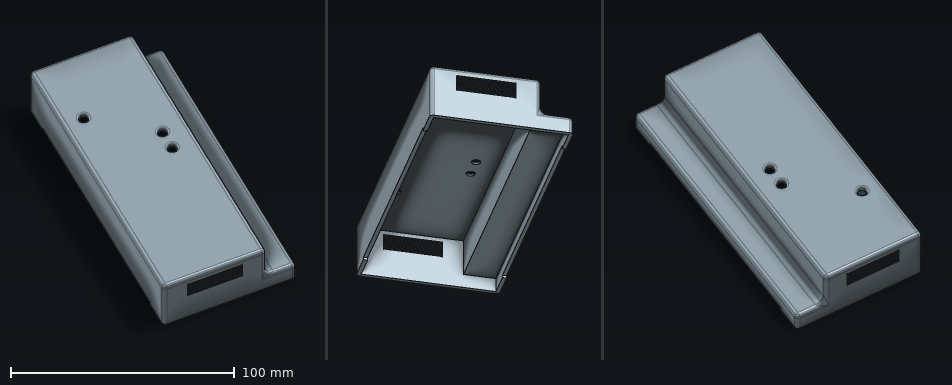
import cadquery as cq

length = 140.1
width = 66.0
height = 26.5
deck_depth = 15.0
deck_height = 8.8

wall = 2.0
edge_radius = 2.0
step_radius = 3.9

hole_top_diameter = 4.5
hole_bottom_diameter = 3.9
mouth_rounding = 1.0
pair_left_x = -12.3
pair_pitch = 10.1
pair_y = 5.7
single_x = -34.7
single_y = -22.7

slot_count = 8
slot_span = 7.0
slot_pitch = slot_span / (slot_count - 1)
slot_height = 0.6
slot_length = 27.2
slot_center_y = -7.1
vent_top_drop = 4.0

notch_length = 112.1
notch_height = 1.3
notch_center_x = 0.1

floor = -height / 2
roof = height / 2
front = -width / 2
back = width / 2
step_y = back - deck_depth
step_z = floor + deck_height
tolerance = 0.01


def stepped_block(inset):
    """L-shaped block along X, its walls and tops moved inward by the inset."""
    profile = [
        (front + inset, floor),
        (back - inset, floor),
        (back - inset, step_z - inset),
        (step_y - inset, step_z - inset),
        (step_y - inset, roof - inset),
        (front + inset, roof - inset),
    ]
    half_length = length / 2 - inset
    return cq.Workplane("YZ").polyline(profile).close().extrude(half_length, both=True)


def is_outer_edge(edge):
    """True for every edge except the bottom rim and the inside corner of the step."""
    center = edge.Center()
    on_floor = abs(edge.BoundingBox().zmax - floor) < tolerance
    in_step = abs(center.y - step_y) < tolerance and abs(center.z - step_z) < tolerance
    return not on_floor and not in_step


def rounded_body():
    """Solid block with rounded outer edges and a larger fillet inside the step."""
    block = stepped_block(0)
    outer_edges = [edge for edge in block.edges().vals() if is_outer_edge(edge)]
    body = block.newObject(outer_edges).fillet(edge_radius)
    inside_corner = cq.selectors.NearestToPointSelector((0, step_y, step_z))
    return body.edges(inside_corner).fillet(step_radius)


def top_hole(x, y):
    """Cutter for one hole: a rounded mouth, then a taper down to the inner face."""
    top_radius = hole_top_diameter / 2
    bottom_radius = hole_bottom_diameter / 2
    cutter = (
        cq.Workplane("XZ")
        .lineTo(top_radius + mouth_rounding, 0)
        .radiusArc((top_radius, -mouth_rounding), -mouth_rounding)
        .lineTo(bottom_radius, -wall)
        .lineTo(0, -wall)
        .close()
        .revolve(360, (0, 0, 0), (0, 1, 0))
    )
    return cutter.translate((x, y, roof))


def vent_slots():
    """Stack of long thin slots, running right through the part along X."""
    top_slot_z = roof - vent_top_drop - slot_height / 2
    slot_centers = [
        cq.Location(cq.Vector(0, slot_center_y, top_slot_z - index * slot_pitch))
        for index in range(slot_count)
    ]
    slot = cq.Workplane("XY").box(length, slot_length, slot_height).val()
    return cq.Workplane("XY").newObject([slot.moved(center) for center in slot_centers]).combine()


def bottom_notch():
    """Box centered on the floor plane, so only its upper half cuts the rim."""
    notch = cq.Workplane("XY").box(notch_length, width, 2 * notch_height)
    return notch.translate((notch_center_x, 0, floor))


hole_positions = [
    (single_x, single_y),
    (pair_left_x, pair_y),
    (pair_left_x + pair_pitch, pair_y),
]

result = rounded_body().cut(stepped_block(wall))
for hole_x, hole_y in hole_positions:
    result = result.cut(top_hole(hole_x, hole_y))
result = result.cut(vent_slots()).cut(bottom_notch())